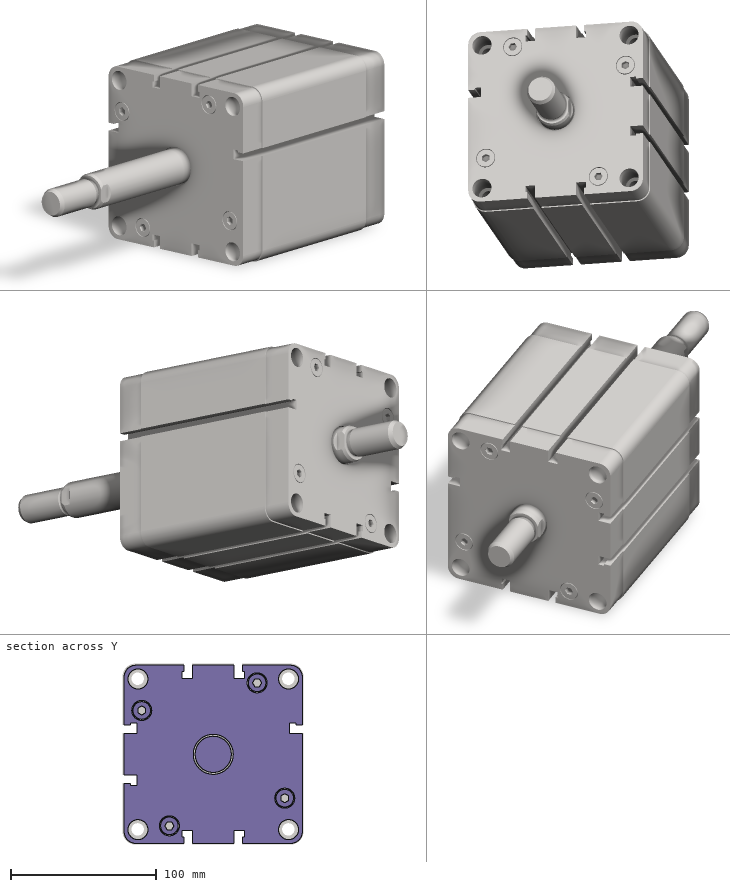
import cadquery as cq


total_length = 326.5
rod_end = total_length / 2

tube_side = 124.0
cap_side = 122.5
corner_centre = 53.0
cap_front = -33.0
tube_front = -14.0
tube_rear = 94.0
cap_rear = 114.0
housing_length = cap_rear - cap_front

mount_offset = 51.5
mount_hole_diameter = 8.5
mount_bore_diameter = 13.5
mount_bore_depth = 19.5

screw_near = 30.0
screw_far = 49.0
screw_bore_diameter = 13.5
screw_head_diameter = 12.5
screw_recess_depth = 1.5
socket_across_corners = 6.0
socket_depth = 3.3

slot_inner = 14.5
slot_outer = 20.0
slot_undercut = 21.2
slot_floor = 52.2
slot_undercut_top = 56.5
slot_mouth = tube_side / 2

rod_diameter = 25.0
neck_diameter = 17.5
thread_diameter = 20.0
shoulder_end = 123.5
thread_start = 127.0
shoulder_chamfer_length = 2.3
shoulder_chamfer_radial = 1.0
thread_relief_length = 0.5
thread_chamfer_length = 3.0
thread_chamfer_radial = 1.5
flat_width = 22.0
flat_length = 7.0
rod_recess_diameter = 27.0
rod_recess_depth = 1.5


def profile_at(y):
    """XZ sketch plane at the given Y, extruding toward +Y, with local x = X and local y = -Z."""
    return cq.Workplane(cq.Plane(origin=(0, y, 0), xDir=(1, 0, 0), normal=(0, 1, 0)))


def rounded_block(side, y_start, y_end):
    block = profile_at(y_start).rect(side, side).extrude(y_end - y_start)
    return block.edges("|Y").fillet(side / 2 - corner_centre)


def disc(diameter, y_start, y_end):
    return profile_at(y_start).circle(diameter / 2).extrude(y_end - y_start)


def sensor_slot(mirrored, turn):
    """Slot in the top face, optionally mirrored in X, then turned about the rod axis."""
    sign = -1 if mirrored else 1
    outline = [
        (slot_inner, slot_mouth),
        (slot_inner, slot_floor),
        (slot_undercut, slot_floor),
        (slot_undercut, slot_undercut_top),
        (slot_outer, slot_undercut_top),
        (slot_outer, slot_mouth),
    ]
    points = [(sign * x, -z) for x, z in outline]
    slot = profile_at(cap_front).polyline(points).close().extrude(housing_length)
    return slot.rotate((0, 0, 0), (0, 1, 0), turn)


def mounting_holes():
    centres = [(x, z) for x in (-mount_offset, mount_offset) for z in (-mount_offset, mount_offset)]
    holes = profile_at(cap_front).pushPoints(centres).circle(mount_hole_diameter / 2).extrude(housing_length)
    for y in (cap_front, cap_rear - mount_bore_depth):
        bores = profile_at(y).pushPoints(centres).circle(mount_bore_diameter / 2).extrude(mount_bore_depth)
        holes = holes.union(bores)
    return holes


def screw_recesses():
    """Ring gap around each screw head, plus its hexagon socket, at both end faces."""
    recesses = cq.Workplane()
    for face, direction in ((cap_front, 1), (cap_rear, -1)):
        seat = profile_at(face).center(screw_near, -screw_far)
        gap = (
            seat.circle(screw_bore_diameter / 2)
            .circle(screw_head_diameter / 2)
            .extrude(direction * screw_recess_depth)
        )
        seat = profile_at(face).center(screw_near, -screw_far)
        socket = seat.polygon(6, socket_across_corners).extrude(direction * socket_depth)
        for turn in range(0, 360, 90):
            for cut in (gap, socket):
                recesses.add(cut.rotate((0, 0, 0), (0, 1, 0), turn))
    return recesses.combine()


def rod_half():
    """Rear half of the rod turned from its outline, with two wrench flats that run out at 45 degrees."""
    rod_r = rod_diameter / 2
    thread_r = thread_diameter / 2
    neck_r = neck_diameter / 2
    half = (
        cq.Workplane("XY")
        .moveTo(0, 0)
        .lineTo(rod_r, 0)
        .lineTo(rod_r, shoulder_end - shoulder_chamfer_length)
        .lineTo(rod_r - shoulder_chamfer_radial, shoulder_end)
        .lineTo(neck_r, shoulder_end)
        .lineTo(neck_r, thread_start - thread_relief_length)
        .lineTo(thread_r, thread_start)
        .lineTo(thread_r, rod_end - thread_chamfer_length)
        .lineTo(thread_r - thread_chamfer_radial, rod_end)
        .lineTo(0, rod_end)
        .close()
        .revolve(360, (0, 0, 0), (0, 1, 0))
    )
    flat_x = flat_width / 2
    flat_start = shoulder_end - flat_length
    runout = rod_r - flat_x
    flat = (
        cq.Workplane("XY")
        .moveTo(flat_x, flat_start)
        .lineTo(rod_r, flat_start - runout)
        .lineTo(rod_r, shoulder_end)
        .lineTo(flat_x, shoulder_end)
        .close()
        .extrude(rod_r, both=True)
    )
    half = half.cut(flat).cut(flat.mirror("YZ"))
    return half


housing = rounded_block(cap_side, cap_front, cap_rear)
housing = housing.union(rounded_block(tube_side, tube_front, tube_rear))

for turn in (0, -90, 180):
    for mirrored in (False, True):
        housing = housing.cut(sensor_slot(mirrored, turn))
housing = housing.cut(sensor_slot(mirrored=True, turn=90))

housing = housing.cut(mounting_holes())
housing = housing.cut(screw_recesses())

housing = housing.cut(disc(rod_recess_diameter, cap_front, cap_front + rod_recess_depth))
housing = housing.cut(disc(rod_recess_diameter, cap_rear - rod_recess_depth, cap_rear))

rear_rod = rod_half()
front_rod = rear_rod.mirror("XZ")
result = housing.union(rear_rod).union(front_rod)